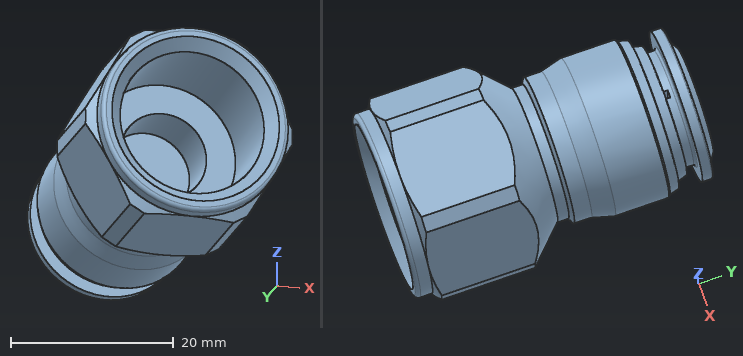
import cadquery as cq
import math

overall_length = 40.5

across_flats = 24.0
across_corners = 26.53
flat_radius = across_flats / 2
corner_radius = across_corners / 2
hex_start = 2.1
lead_angle = 30.0
lip_round = 0.53

neck_radius = 8.75
neck_start = 19.55
neck_end = 21.0
shoulder_radius = 9.5
shoulder_lead = 0.45
shoulder_end = 23.7
barrel_radius = 10.3
barrel_start = 26.53
barrel_end = 33.5
barrel_step = 33.75
collar_base_radius = 10.0
collar_tip_radius = 9.68
collar_end = 35.05
cap_base_radius = 8.83
cap_tip_radius = 8.42
cap_end = 36.5

sleeve_radius = 7.45
sleeve_fillet = 0.35
flange_radius = 9.8
flange_start = 38.03
flange_end = 39.5
flange_edge_round = 0.25
crown_base_radius = 8.4
crown_tip_radius = 6.85
slot_width = 0.97
slot_height = 0.65

mouth_radius = 10.75
bore_radius = 9.25
bore_depth = 13.75
passage_radius = 5.5
passage_end = neck_end


def revolve_about_y(points):
    """Turn a closed (radius, y) outline around the Y axis."""
    return cq.Workplane("XY").polyline(points).close().revolve(360, (0, 0, 0), (0, 1, 0))


def hexagon_prism(flat_distance, first_flat_angle):
    """Hexagonal bar along Y with its flats at a given distance from the axis."""
    corner_distance = flat_distance / math.cos(math.pi / 6)
    corners = []
    for side in range(6):
        angle = math.radians(first_flat_angle + 30 + 60 * side)
        corners.append((corner_distance * math.cos(angle), corner_distance * math.sin(angle)))
    return cq.Workplane("XZ").polyline(corners).close().extrude(-neck_start)


def make_nut():
    """Hexagon with flattened corners and conical ends, plus the round front lip."""
    lead_length = (corner_radius - flat_radius) * math.tan(math.radians(lead_angle))
    margin = 0.8
    envelope_radius = corner_radius + margin
    rear_slope_length = envelope_radius - neck_radius
    front_slope_length = lead_length * (envelope_radius - flat_radius) / (corner_radius - flat_radius)
    envelope = revolve_about_y([
        (0, hex_start),
        (flat_radius, hex_start),
        (envelope_radius, hex_start + front_slope_length),
        (envelope_radius, neck_start - rear_slope_length),
        (neck_radius, neck_start),
        (0, neck_start),
    ])
    flats = hexagon_prism(flat_radius, 30)
    corner_facets = hexagon_prism(corner_radius, 0)
    lip = (
        cq.Workplane("XZ")
        .circle(flat_radius)
        .extrude(-hex_start)
        .faces("<Y")
        .edges()
        .fillet(lip_round)
    )
    return envelope.intersect(flats).intersect(corner_facets).union(lip)


def make_round_body():
    return revolve_about_y([
        (0, neck_start),
        (neck_radius, neck_start),
        (neck_radius, neck_end),
        (shoulder_radius, neck_end + shoulder_lead),
        (shoulder_radius, shoulder_end),
        (barrel_radius, barrel_start),
        (barrel_radius, barrel_end),
        (collar_base_radius, barrel_step),
        (collar_tip_radius, collar_end),
        (cap_base_radius, collar_end),
        (cap_tip_radius, cap_end),
        (0, cap_end),
    ])


def make_sleeve():
    """Flanged release sleeve with a narrow slot through it along Z."""
    round_offset = flange_edge_round * math.sqrt(0.5)
    round_middle = (
        flange_radius - flange_edge_round + round_offset,
        flange_end - flange_edge_round + round_offset,
    )
    fillet_offset = sleeve_fillet * (1 - math.sqrt(0.5))
    fillet_middle = (sleeve_radius + fillet_offset, flange_start - fillet_offset)
    sleeve = (
        cq.Workplane("XY")
        .moveTo(0, cap_end)
        .lineTo(sleeve_radius, cap_end)
        .lineTo(sleeve_radius, flange_start - sleeve_fillet)
        .threePointArc(fillet_middle, (sleeve_radius + sleeve_fillet, flange_start))
        .lineTo(flange_radius, flange_start)
        .lineTo(flange_radius, flange_end - flange_edge_round)
        .threePointArc(round_middle, (flange_radius - flange_edge_round, flange_end))
        .lineTo(crown_base_radius, flange_end)
        .lineTo(crown_tip_radius, overall_length)
        .lineTo(0, overall_length)
        .close()
        .revolve(360, (0, 0, 0), (0, 1, 0))
    )
    slot = (
        cq.Workplane("XY")
        .box(slot_width, slot_height, 2 * flange_radius, centered=(True, False, True))
        .translate((0, cap_end, 0))
    )
    return sleeve.cut(slot)


def make_bore():
    """Threaded-end bore with a 45 degree mouth and a narrower blind passage."""
    return revolve_about_y([
        (0, 0),
        (mouth_radius, 0),
        (bore_radius, mouth_radius - bore_radius),
        (bore_radius, bore_depth),
        (passage_radius, bore_depth),
        (passage_radius, passage_end),
        (0, passage_end),
    ])


result = make_nut().union(make_round_body()).union(make_sleeve()).cut(make_bore())